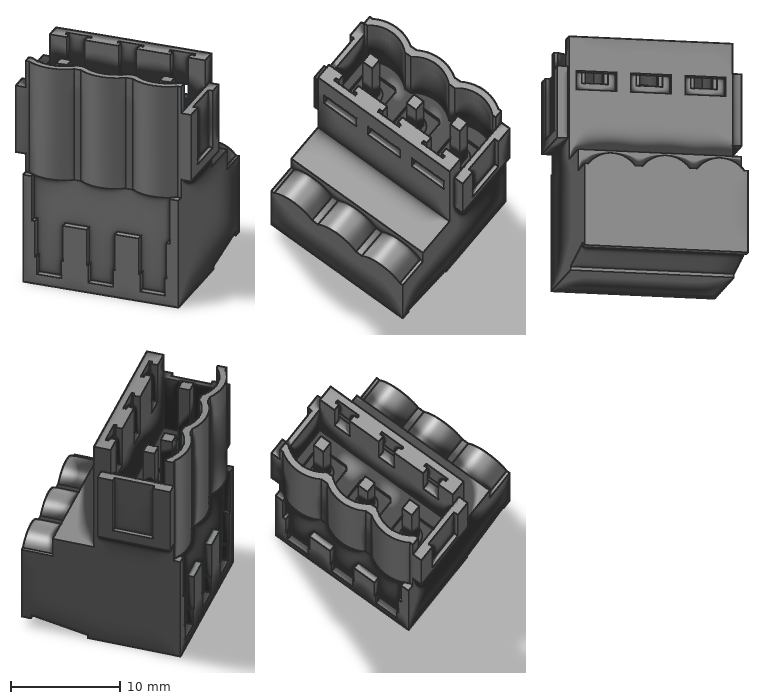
import cadquery as cq

POLES = 3
PITCH = 5.08
BODY_WIDTH = POLES * PITCH
OVERALL_WIDTH = 17.2
OVERALL_DEPTH = 15.3
HEIGHT = 22.05

FRONT_BLOCK_TOP = 10.83
STEP_TOP = 10.56
SHOULDER_TOP = 8.58
SHOULDER_START = 12.3
BASE_DEPTH = 8.9
UNDERCUT_START = 0.33
UNDERCUT_END = 1.32
FOOT_BOTTOM = 0.93
FOOT_WIDTH = 0.9
FOOT_START = OVERALL_DEPTH - FOOT_WIDTH

FRONT_SETBACK = 0.66
FRONT_WALL = 0.84
BACK_WALL_INNER = 6.73
BACK_WALL_OUTER = 8.33
CAVITY_FLOOR = 13.65

SCALLOP_CHORD = 4.4
DOME_RISE = 1.08
DOME_ROOT = 1.1

SIDE_WALL = (OVERALL_WIDTH - BODY_WIDTH) / 2
SIDE_WALL_BOTTOM = 12.65
SIDE_WALL_TOP = 19.38
SIDE_WALL_BACK = 7.65
SIDE_POCKET_DEPTH = 0.45
SIDE_POCKET_START = 2.34
SIDE_POCKET_END = 6.17

SLOT_BOTTOM = 17.85
SLOT_NECK_WIDTH = 1.75
SLOT_HEAD_WIDTH = 2.45
SLOT_HEAD_START = 7.39
SLOT_HEAD_END = SIDE_WALL_BACK
WINDOW_WIDTH = 3.75
WINDOW_BOTTOM = 17.09
WINDOW_TOP = 18.85

COVER_THICKNESS = 0.66
COVER_WIDTH = 13.55
COVER_SHOULDER = 6.33
FINGER_WIDTH = 2.73
FINGER_STEP = 2.73
FINGER_TIP_WIDTH = 2.43
FINGER_BOTTOM = 1.0

PIN_Y = 3.7
OUTER_PIN_TOP = 21.05
MIDDLE_PIN_TOP = 18.75
PIN_SIDE = 1.1
SHANK_DIAMETER = 2.1
SHANK_LENGTH = 2.2
SOCKET_SIDE = 3.45
SOCKET_RADIUS = 0.45
SOCKET_DEPTH = 0.45
SOCKET_FLOOR = CAVITY_FLOOR - SOCKET_DEPTH
SHANK_BOTTOM = SOCKET_FLOOR - SHANK_LENGTH

pole_centres = [(i - (POLES - 1) / 2) * PITCH for i in range(POLES)]


def box(x_range, y_range, z_range):
    """Axis-aligned box spanning the three (low, high) ranges."""
    size = [high - low for low, high in (x_range, y_range, z_range)]
    corner = (x_range[0], y_range[0], z_range[0])
    return cq.Workplane("XY").box(*size, centered=False).translate(corner)


def centred_box(x, width, y_range, z_range):
    """Box of the given width centred on x."""
    return box((x - width / 2, x + width / 2), y_range, z_range)


def scallop_line(sketch, base, rise):
    """Trace, from the left end, a row of arcs standing `rise` off a straight line at `base`."""
    sketch = sketch.moveTo(-BODY_WIDTH / 2, base)
    for x in pole_centres:
        sketch = sketch.lineTo(x - SCALLOP_CHORD / 2, base)
        sketch = sketch.threePointArc((x, base + rise), (x + SCALLOP_CHORD / 2, base))
    return sketch.lineTo(BODY_WIDTH / 2, base)


def make_block():
    """Stepped block with the back wall of the cavity."""
    profile = [
        (0, 0),
        (BASE_DEPTH, 0),
        (BASE_DEPTH, UNDERCUT_START),
        (FOOT_START, UNDERCUT_END),
        (FOOT_START, FOOT_BOTTOM),
        (OVERALL_DEPTH, FOOT_BOTTOM),
        (OVERALL_DEPTH, SHOULDER_TOP),
        (SHOULDER_START, SHOULDER_TOP),
        (SHOULDER_START, STEP_TOP),
        (BACK_WALL_OUTER, STEP_TOP),
        (BACK_WALL_OUTER, HEIGHT),
        (BACK_WALL_INNER, HEIGHT),
        (BACK_WALL_INNER, CAVITY_FLOOR),
        (FRONT_SETBACK, CAVITY_FLOOR),
        (FRONT_SETBACK, FRONT_BLOCK_TOP),
        (0, FRONT_BLOCK_TOP),
    ]
    return cq.Workplane("YZ").polyline(profile).close().extrude(BODY_WIDTH / 2, both=True)


def scalloped_slab(base, rise, bottom):
    """Slab from a scalloped front to the inside of the back wall, up to the full height."""
    sketch = scallop_line(cq.Workplane("XY").workplane(offset=bottom), base, -rise)
    sketch = sketch.lineTo(BODY_WIDTH / 2, BACK_WALL_INNER).lineTo(-BODY_WIDTH / 2, BACK_WALL_INNER)
    return sketch.close().extrude(HEIGHT - bottom)


def make_front_wall():
    """Scalloped wall; its outer arcs reach the plane of the front face."""
    outside = scalloped_slab(FRONT_SETBACK, FRONT_SETBACK, FRONT_BLOCK_TOP)
    inside = scalloped_slab(FRONT_SETBACK + FRONT_WALL, FRONT_WALL, CAVITY_FLOOR)
    return outside.cut(inside)


def make_domes():
    """Row of arched domes on the rear shoulder, rooted a little way into the block."""
    plane = cq.Workplane("XZ", origin=(0, OVERALL_DEPTH, 0))
    length = OVERALL_DEPTH - SHOULDER_START
    arches = scallop_line(plane, SHOULDER_TOP, DOME_RISE)
    arches = arches.lineTo(BODY_WIDTH / 2, SHOULDER_TOP - DOME_ROOT)
    return arches.lineTo(-BODY_WIDTH / 2, SHOULDER_TOP - DOME_ROOT).close().extrude(length)


def make_side_wall():
    """Wall closing the +X side of the cavity."""
    outer = OVERALL_WIDTH / 2
    wall = box(
        (outer - SIDE_WALL, outer),
        (FRONT_SETBACK, SIDE_WALL_BACK),
        (SIDE_WALL_BOTTOM, SIDE_WALL_TOP),
    )
    pocket = box(
        (outer - SIDE_POCKET_DEPTH, outer),
        (SIDE_POCKET_START, SIDE_POCKET_END),
        (CAVITY_FLOOR, SIDE_WALL_TOP),
    )
    return wall.cut(pocket)


def make_t_slot(x):
    """Neck and head of a T-slot open at the top, and the window through the web behind its foot."""
    slot_height = (SLOT_BOTTOM, HEIGHT)
    neck = centred_box(x, SLOT_NECK_WIDTH, (BACK_WALL_INNER, SLOT_HEAD_END), slot_height)
    head = centred_box(x, SLOT_HEAD_WIDTH, (SLOT_HEAD_START, SLOT_HEAD_END), slot_height)
    window_depth = (SLOT_HEAD_END, BACK_WALL_OUTER)
    window = centred_box(x, WINDOW_WIDTH, window_depth, (WINDOW_BOTTOM, WINDOW_TOP))
    return [neck, head, window]


def make_comb(y_range):
    """Comb outline filled over y_range: a wide band with one stepped finger per pole."""
    comb = centred_box(0, COVER_WIDTH, y_range, (COVER_SHOULDER, FRONT_BLOCK_TOP))
    for x in pole_centres:
        comb = comb.union(centred_box(x, FINGER_WIDTH, y_range, (FINGER_STEP, COVER_SHOULDER)))
        comb = comb.union(centred_box(x, FINGER_TIP_WIDTH, y_range, (FINGER_BOTTOM, FINGER_STEP)))
    return comb


def make_shank(x):
    """Round shank of a pin, flush with the socket floor."""
    plane = cq.Workplane("XY", origin=(x, PIN_Y, SHANK_BOTTOM))
    return plane.circle(SHANK_DIAMETER / 2).extrude(SHANK_LENGTH)


def make_socket(x):
    """Rounded square socket sunk into the cavity floor around a pin."""
    plane = cq.Workplane("XY", origin=(x, PIN_Y, SOCKET_FLOOR))
    return plane.rect(SOCKET_SIDE, SOCKET_SIDE).extrude(SOCKET_DEPTH).edges("|Z").fillet(SOCKET_RADIUS)


def make_housing():
    """Complete housing with its slots, cover recess and pin sockets."""
    side_wall = make_side_wall()
    body = make_block().union(make_front_wall()).union(make_domes())
    body = body.union(side_wall).union(side_wall.mirror("YZ"))
    body = body.cut(make_comb((0, FRONT_SETBACK + COVER_THICKNESS)))
    for x in pole_centres:
        for void in [*make_t_slot(x), make_socket(x), make_shank(x)]:
            body = body.cut(void)
    return body


def make_cover():
    """Cover plate lying on the bottom of the comb-shaped recess."""
    return make_comb((FRONT_SETBACK, FRONT_SETBACK + COVER_THICKNESS))


def make_pin(x, top):
    """Contact pin: square blade on a round shank."""
    blade_y = (PIN_Y - PIN_SIDE / 2, PIN_Y + PIN_SIDE / 2)
    return make_shank(x).union(centred_box(x, PIN_SIDE, blade_y, (SOCKET_FLOOR, top)))


housing = make_housing()
cover = make_cover()
pin_tops = [OUTER_PIN_TOP, MIDDLE_PIN_TOP, OUTER_PIN_TOP]
pins = [make_pin(x, top) for x, top in zip(pole_centres, pin_tops)]

result = cq.Compound.makeCompound([housing.val(), cover.val(), *[pin.val() for pin in pins]])